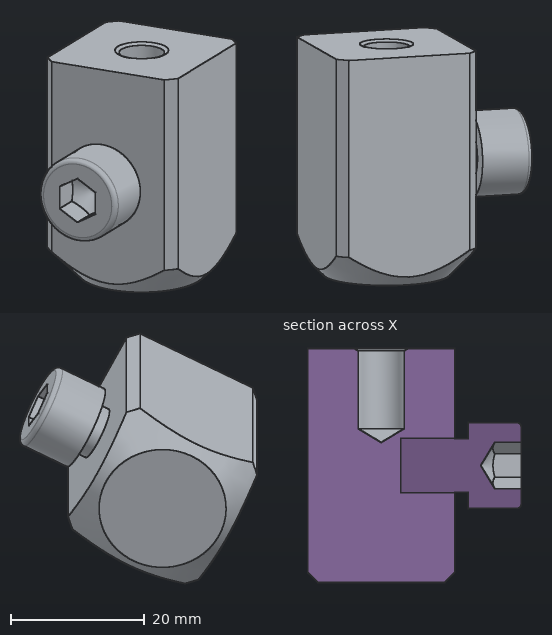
import cadquery as cq
import math

block_height = 35.0
block_width = 22.0
edge_chamfer = 1.5
half_width = block_width / 2
foot_radius = half_width - edge_chamfer

thread_diameter = 8.0
core_diameter = 6.8
top_hole_depth = 12.0
drill_tip_angle = 118.0
countersink_angle = 120.0

screw_height = 17.5
screw_reach = 8.0
neck_length = 2.0
head_diameter = 12.95
head_length = 7.98
head_fillet = 0.75
socket_width = 6.0
socket_depth = 4.0
hex_half_angle = 30.0

front_y = -half_width
head_seat_y = front_y - neck_length
head_end_y = head_seat_y - head_length


def cone_height(diameter, tip_angle):
    return diameter / 2 / math.tan(math.radians(tip_angle / 2))


def make_foot_envelope():
    """Revolved body whose 45 degree cone trims the lower corners of the block."""
    outer_radius = block_width
    cone_top = outer_radius - foot_radius
    return (
        cq.Workplane("XZ")
        .moveTo(0, 0)
        .lineTo(foot_radius, 0)
        .lineTo(outer_radius, cone_top)
        .lineTo(outer_radius, block_height)
        .lineTo(0, block_height)
        .close()
        .revolve(360, (0, 0, 0), (0, 1, 0))
    )


def make_top_hole():
    """Drilled hole with a pointed bottom and a countersunk mouth."""
    core_radius = core_diameter / 2
    mouth_radius = thread_diameter / 2
    countersink_depth = cone_height(thread_diameter - core_diameter, countersink_angle)
    bottom_z = block_height - top_hole_depth
    tip_z = bottom_z - cone_height(core_diameter, drill_tip_angle)
    return (
        cq.Workplane("XZ")
        .moveTo(0, block_height)
        .lineTo(mouth_radius, block_height)
        .lineTo(core_radius, block_height - countersink_depth)
        .lineTo(core_radius, bottom_z)
        .lineTo(0, tip_z)
        .close()
        .revolve(360, (0, 0, 0), (0, 1, 0))
    )


def screw_plane(y):
    """Plane across the screw axis, with its normal toward -Y."""
    return cq.Workplane("XZ", origin=(0, y, screw_height))


def make_shank():
    return screw_plane(front_y + screw_reach).circle(thread_diameter / 2).extrude(screw_reach + neck_length)


def make_block():
    bar = (
        cq.Workplane("XY")
        .rect(block_width, block_width)
        .extrude(block_height)
        .edges("|Z")
        .chamfer(edge_chamfer)
    )
    return bar.intersect(make_foot_envelope()).cut(make_top_hole()).cut(make_shank())


def make_socket():
    """Hexagonal socket with two flats facing +X and -X and a conical bottom."""
    corner_diameter = socket_width / math.cos(math.radians(hex_half_angle))
    corner_radius = corner_diameter / 2
    socket_end_y = head_end_y + socket_depth
    tip_length = cone_height(corner_diameter, drill_tip_angle)
    hexagon = (
        screw_plane(head_end_y)
        .transformed(rotate=(0, 0, hex_half_angle))
        .polygon(6, corner_diameter)
        .extrude(-(socket_depth + tip_length))
    )
    pointed_bore = (
        cq.Workplane("XY", origin=(0, 0, screw_height))
        .moveTo(0, head_end_y)
        .lineTo(corner_radius, head_end_y)
        .lineTo(corner_radius, socket_end_y)
        .lineTo(0, socket_end_y + tip_length)
        .close()
        .revolve(360, (0, 0, 0), (0, 1, 0))
    )
    return hexagon.intersect(pointed_bore)


def make_screw():
    head = (
        screw_plane(head_seat_y)
        .circle(head_diameter / 2)
        .extrude(head_length)
        .faces("<Y")
        .edges()
        .fillet(head_fillet)
    )
    return head.union(make_shank()).cut(make_socket())


block = make_block()
screw = make_screw()
result = cq.Compound.makeCompound([block.val(), screw.val()])